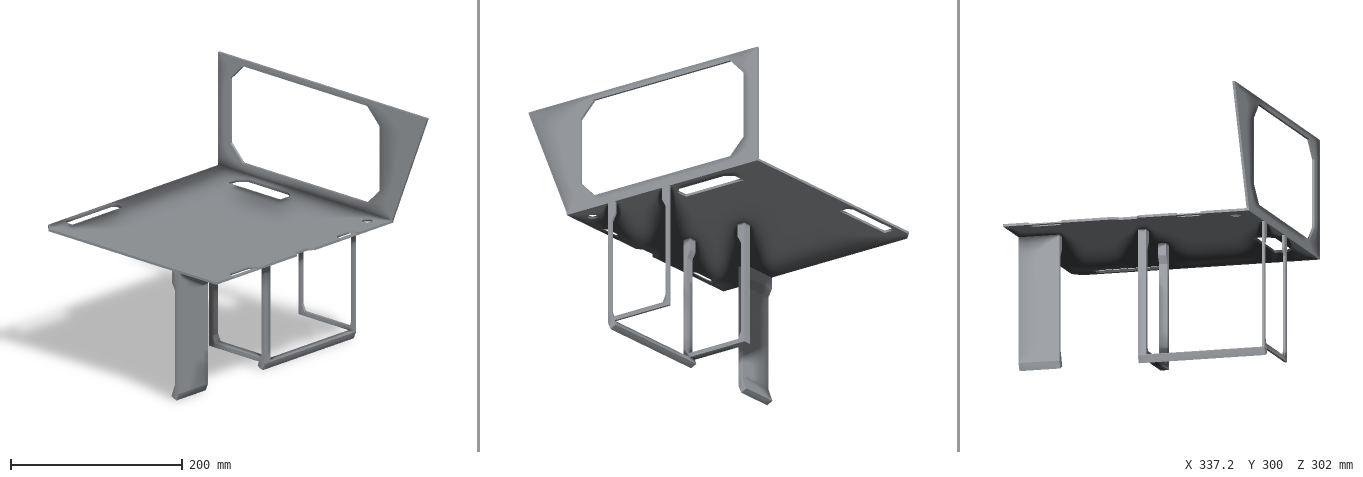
import cadquery as cq


TOTAL_WIDTH = 337.2
TOTAL_DEPTH = 300.0
TOTAL_HEIGHT = 302.0
SHEET = 3.0

SHELF_WIDTH = 280.5
SHELF_TOP = -140.0
SHELF_BOTTOM = SHELF_TOP - SHEET
SHELF_CORNER_CUT = 10.0
PANEL_OPENING_LEFT = 20.2
PANEL_OPENING_TOP = -7.8
PANEL_OPENING_WIDTH = 240.0
PANEL_OPENING_HEIGHT = 120.0
PANEL_OPENING_CUT = 20.0
HOLE_DIAMETER = 12.0
HOLE_X = 259.5
HOLE_Y = -22.5

REAR_WINDOW_X = (50.5, 135.2)
REAR_WINDOW_Y = (-39.5, -15.2)
REAR_WINDOW_CUT = 8.8
SLOT_CUT = 5.0
LEFT_SLOT_X = (5.0, 20.5)
LEFT_SLOT_Y = (-270.0, -184.0)
EDGE_SLOT_DEPTH = 10.8
EDGE_SLOTS_Y = ((-89.7, -59.5), (-270.0, -229.3))
LIP_WIDTH = 5.5
LIP_THICKNESS = SHEET / 2
EDGE_NOTCH_DEPTH = 5.5
EDGE_NOTCH_Y = (-164.0, -134.0)

WALL = 5.5
FRAME_LEFT = 129.8
FRAME_RIGHT = 220.0
FOOT_WIDTH = 10.5
FOOT_BOTTOM = SHELF_BOTTOM - 15.0
FOOT_TAPER_BOTTOM = FOOT_BOTTOM - 9.0
BAR_TOP = -287.3
BAR_BOTTOM = BAR_TOP - WALL
CORNER_CUT_WIDTH = 4.0
CORNER_CUT_HEIGHT = 8.5
HOOK_START = -282.0
HOOK_TIP = (208.5, -298.5)
HOOK_BOTTOM_X = 216.0
HOOK_OUTER_BEND = -293.5

FRAME_DEPTH = 154.5
FRAME_REAR_LEG = SHEET
FRAME_FRONT_LEG = 10.0
CLIP_WIDTH = 50.0


def extrude_forward(points, rear_y, depth):
    """Extrude an XZ outline from rear_y toward -Y."""
    return cq.Workplane("XZ", origin=(0, rear_y, 0)).polyline(points).close().extrude(depth)


def through_shelf(points, bottom=SHELF_BOTTOM):
    """Cutter with an XY outline, from the given height to the shelf top."""
    return cq.Workplane("XY", origin=(0, 0, bottom)).polyline(points).close().extrude(SHELF_TOP - bottom)


def left_chamfered_outline(x_range, y_range, cut):
    """Rectangle with its two left corners cut off."""
    left, right = x_range
    front, rear = y_range
    return [
        (right, front),
        (right, rear),
        (left + cut, rear),
        (left, rear - cut),
        (left, front + cut),
        (left + cut, front),
    ]


def rear_chamfered_outline(x_range, y_range, cut):
    """Rectangle with its two rear corners cut off."""
    left, right = x_range
    front, rear = y_range
    return [
        (left, front),
        (left, rear - cut),
        (left + cut, rear),
        (right - cut, rear),
        (right, rear - cut),
        (right, front),
    ]


def make_panel():
    """Upright rear panel with a slanted right side and a chamfered opening."""
    outline = [
        (0, 0),
        (TOTAL_WIDTH, 0),
        (SHELF_WIDTH, SHELF_TOP),
        (SHELF_WIDTH, SHELF_BOTTOM),
        (0, SHELF_BOTTOM),
    ]
    opening = (
        cq.Workplane("XY")
        .box(PANEL_OPENING_WIDTH, SHEET, PANEL_OPENING_HEIGHT)
        .edges("|Y")
        .chamfer(PANEL_OPENING_CUT)
        .translate((
            PANEL_OPENING_LEFT + PANEL_OPENING_WIDTH / 2,
            -SHEET / 2,
            PANEL_OPENING_TOP - PANEL_OPENING_HEIGHT / 2,
        ))
    )
    return extrude_forward(outline, 0, SHEET).cut(opening)


def make_shelf():
    """Flat shelf with its windows, hole, edge slots and edge notch."""
    shelf = through_shelf([
        (0, 0),
        (SHELF_WIDTH, 0),
        (SHELF_WIDTH, -TOTAL_DEPTH),
        (SHELF_CORNER_CUT, -TOTAL_DEPTH),
        (0, -TOTAL_DEPTH + SHELF_CORNER_CUT),
    ])
    hole = (
        cq.Workplane("XY", origin=(HOLE_X, HOLE_Y, SHELF_BOTTOM))
        .circle(HOLE_DIAMETER / 2)
        .extrude(SHEET)
    )
    shelf = shelf.cut(hole)
    shelf = shelf.cut(through_shelf(rear_chamfered_outline(REAR_WINDOW_X, REAR_WINDOW_Y, REAR_WINDOW_CUT)))
    shelf = shelf.cut(through_shelf(left_chamfered_outline(LEFT_SLOT_X, LEFT_SLOT_Y, SLOT_CUT)))

    notch_x = (SHELF_WIDTH - EDGE_NOTCH_DEPTH, SHELF_WIDTH)
    shelf = shelf.cut(through_shelf(left_chamfered_outline(notch_x, EDGE_NOTCH_Y, SLOT_CUT)))

    lip_left = SHELF_WIDTH - LIP_WIDTH
    for y_range in EDGE_SLOTS_Y:
        front, rear = y_range
        slot_x = (SHELF_WIDTH - EDGE_SLOT_DEPTH, lip_left)
        step = [(lip_left, front), (SHELF_WIDTH, front), (SHELF_WIDTH, rear), (lip_left, rear)]
        shelf = shelf.cut(through_shelf(left_chamfered_outline(slot_x, y_range, SLOT_CUT)))
        shelf = shelf.cut(through_shelf(step, SHELF_BOTTOM + LIP_THICKNESS))
    return shelf


def hooked_leg_outer_points():
    """Right leg from the hook's inner start round to the top of its foot."""
    return [
        HOOK_TIP,
        (HOOK_BOTTOM_X, -TOTAL_HEIGHT),
        (FRAME_RIGHT, HOOK_OUTER_BEND),
        (FRAME_RIGHT, SHELF_BOTTOM),
        (FRAME_RIGHT - FOOT_WIDTH, SHELF_BOTTOM),
        (FRAME_RIGHT - FOOT_WIDTH, FOOT_BOTTOM),
        (FRAME_RIGHT - WALL, FOOT_TAPER_BOTTOM),
    ]


def hook_inner_x(z):
    """X of the hook's slanted inner face at height z."""
    start_x = FRAME_RIGHT - WALL
    tip_x, tip_z = HOOK_TIP
    return start_x + (tip_x - start_x) * (z - HOOK_START) / (tip_z - HOOK_START)


def make_frame():
    """Hooked U frame below the shelf, cut into a rear and a front leg pair."""
    inner_left = FRAME_LEFT + WALL
    outline = [
        (FRAME_LEFT, SHELF_BOTTOM),
        (FRAME_LEFT, BAR_BOTTOM),
        (hook_inner_x(BAR_BOTTOM), BAR_BOTTOM),
        *hooked_leg_outer_points(),
        (FRAME_RIGHT - WALL, HOOK_START),
        (hook_inner_x(BAR_TOP), BAR_TOP),
        (inner_left + CORNER_CUT_WIDTH, BAR_TOP),
        (inner_left, BAR_TOP + CORNER_CUT_HEIGHT),
        (inner_left, FOOT_TAPER_BOTTOM),
        (FRAME_LEFT + FOOT_WIDTH, FOOT_BOTTOM),
        (FRAME_LEFT + FOOT_WIDTH, SHELF_BOTTOM),
    ]
    gap = cq.Workplane("XY").box(
        FRAME_RIGHT - FRAME_LEFT,
        FRAME_DEPTH - FRAME_REAR_LEG - FRAME_FRONT_LEG,
        SHELF_BOTTOM - BAR_BOTTOM,
        centered=False,
    ).translate((FRAME_LEFT, -FRAME_DEPTH + FRAME_FRONT_LEG, BAR_BOTTOM))
    return extrude_forward(outline, 0, FRAME_DEPTH).cut(gap)


def make_clip():
    """Hooked leg at the front edge of the shelf."""
    outline = [(FRAME_RIGHT - WALL, HOOK_START), *hooked_leg_outer_points()]
    return extrude_forward(outline, -TOTAL_DEPTH + CLIP_WIDTH, CLIP_WIDTH)


bracket = make_panel().union(make_shelf())
frame = make_frame()
clip = make_clip()

result = cq.Compound.makeCompound([bracket.val(), frame.val(), clip.val()])